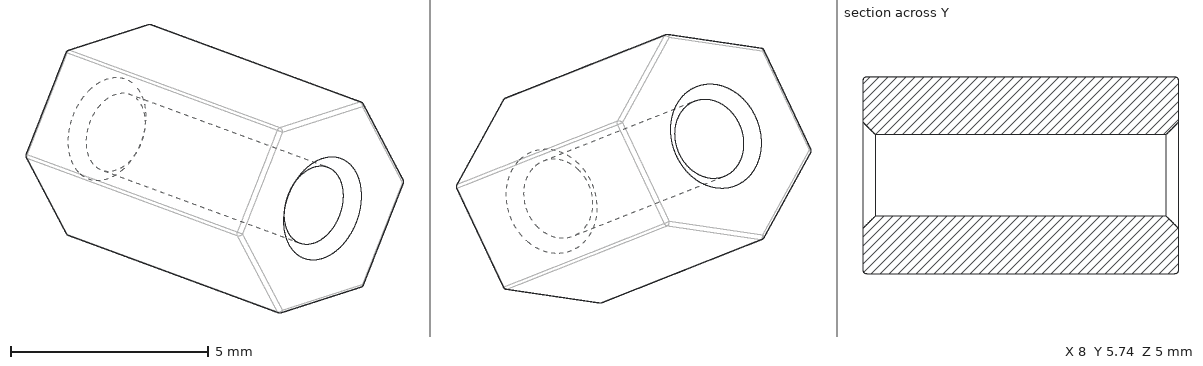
import cadquery as cq
import math

length = 8.0
side_count = 6
across_flats = 5.0
edge_radius = 0.1

bore_diameter = 2.05
countersink_diameter = 2.7
countersink_angle = 90.0

across_corners = across_flats / math.cos(math.pi / side_count)
countersink_step = (countersink_diameter - bore_diameter) / 2
countersink_depth = countersink_step / math.tan(math.radians(countersink_angle / 2))


def make_hex_body():
    """Hexagonal bar centred on the origin, flats facing +Z and -Z, all edges rounded."""
    bar = cq.Workplane("YZ").polygon(side_count, across_corners).extrude(length / 2, both=True)
    return bar.edges().fillet(edge_radius)


def make_bore():
    """Half profile of the bore and both countersinks, revolved about the X axis."""
    bore_radius = bore_diameter / 2
    mouth_radius = countersink_diameter / 2
    end = length / 2
    cone_end = end - countersink_depth
    profile = [
        (-end, 0),
        (-end, mouth_radius),
        (-cone_end, bore_radius),
        (cone_end, bore_radius),
        (end, mouth_radius),
        (end, 0),
    ]
    return cq.Workplane("XY").polyline(profile).close().revolve(360, (0, 0, 0), (1, 0, 0))


result = make_hex_body().cut(make_bore())